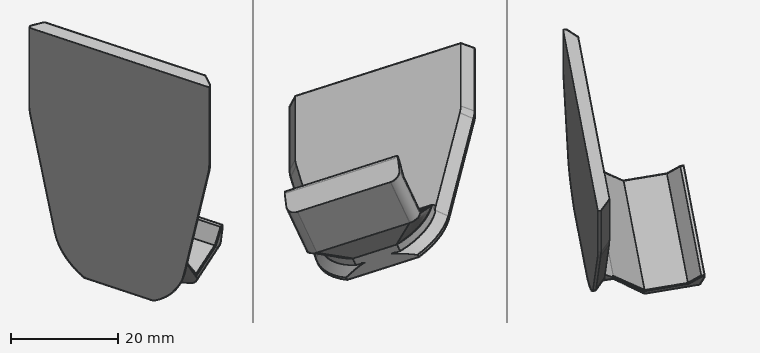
import cadquery as cq
import math

height = 65.0
plate_width = 37.0
depth = 21.5

plate_thickness = 2.55
plate_rim = 0.6
plate_bottom = 3.5
shoulder_z = 43.3
shoulder_radius = 14.3
curve_top_z = 13.0
curve_top_half = 13.25
bottom_half = 7.15

boss_back = 4.15
boss_half = 11.45
boss_top_z = 14.8
boss_mid_half = 9.9
boss_mid_z = 8.45
boss_bottom_half = 4.4

arm_half = 11.3
arm_floor_z = 3.1
arm_corner = 2.0
arm_root_z = 12.8
elbow_y = 10.15
arm_top_chamfer = 0.2
lip_inner_y = 18.3
lip_tip_width = 0.65
lip_top_z = 5.7
lip_bottom_y = 20.1
lip_edge_z = 5.2


def make_plate():
    half = plate_width / 2
    plate = (
        cq.Workplane("XZ")
        .moveTo(0, height)
        .lineTo(half, height)
        .lineTo(half, shoulder_z)
        .lineTo(curve_top_half, curve_top_z)
        .tangentArcPoint((bottom_half, plate_bottom), relative=False)
        .lineTo(0, plate_bottom)
        .close()
        .extrude(-plate_thickness)
    )
    shoulder = cq.selectors.NearestToPointSelector((half, plate_thickness / 2, shoulder_z))
    plate = plate.edges(shoulder).fillet(shoulder_radius)
    outer_side = cq.selectors.NearestToPointSelector((half, plate_thickness, (height + shoulder_z) / 2))
    plate = plate.edges(outer_side).chamfer(plate_thickness - plate_rim)
    return plate.union(plate.mirror("YZ"))


def rounded_section(y, half, top_z, curve_z, curve_mid, base_half, base_z):
    """Closed outline in an XZ plane: flat top and base, curved lower corners."""
    mid_x, mid_z = curve_mid
    return (
        cq.Workplane("XZ", origin=(0, y, 0))
        .moveTo(-half, top_z)
        .lineTo(half, top_z)
        .lineTo(half, curve_z)
        .threePointArc((mid_x, mid_z), (base_half, base_z))
        .lineTo(-base_half, base_z)
        .threePointArc((-mid_x, mid_z), (-half, curve_z))
        .close()
    )


def root_section(y, half, top_z):
    """Section whose lower corners follow the curve of the plate."""
    inset = boss_half - half
    return rounded_section(
        y, half, top_z, arm_root_z - arm_top_chamfer,
        (boss_mid_half - inset, boss_mid_z), boss_bottom_half - inset, plate_bottom,
    )


def arm_section(top_z):
    """Section of the arm at the elbow."""
    bend = arm_corner * (1 - math.sqrt(0.5))
    return rounded_section(
        elbow_y, arm_half, top_z, arm_corner,
        (arm_half - bend, bend), arm_half - arm_corner, 0,
    )


def side_prism(points):
    """Side profile in the YZ plane, extruded wider than the part."""
    return cq.Workplane("YZ").polyline(points).close().extrude(plate_width, both=True)


def make_boss():
    boss = root_section(plate_thickness, boss_half, boss_top_z).extrude(plate_thickness - boss_back)
    envelope = side_prism(
        [
            (plate_thickness, plate_bottom),
            (plate_thickness, boss_top_z),
            (boss_back, arm_root_z),
            (boss_back, plate_bottom),
        ]
    )
    return boss.intersect(envelope)


def make_sloped_arm():
    root = root_section(boss_back, arm_half, arm_root_z).wires().val()
    elbow = arm_section(arm_floor_z).wires().val()
    return cq.Workplane(cq.Solid.makeLoft([root, elbow], True))


def make_hook():
    hook = arm_section(lip_top_z).extrude(elbow_y - depth)
    envelope = side_prism(
        [
            (elbow_y, 0),
            (lip_bottom_y, 0),
            (depth, lip_edge_z),
            (depth, lip_top_z),
            (depth - lip_tip_width, lip_top_z),
            (lip_inner_y, arm_floor_z),
            (elbow_y, arm_floor_z),
        ]
    )
    return hook.intersect(envelope)


def break_top_edges(arm):
    """Chamfer the long upper edges of the sloped arm, floor and lip."""
    corners = [
        (boss_back, arm_root_z),
        (elbow_y, arm_floor_z),
        (lip_inner_y, arm_floor_z),
        (depth - lip_tip_width, lip_top_z),
        (depth, lip_top_z),
    ]
    edges = cq.Workplane()
    for (y1, z1), (y2, z2) in zip(corners, corners[1:]):
        for side in (-1, 1):
            middle = (side * arm_half, (y1 + y2) / 2, (z1 + z2) / 2)
            nearest = cq.selectors.NearestToPointSelector(middle)
            edges = edges.add(arm.edges(nearest))
    return arm.newObject([arm.val().chamfer(arm_top_chamfer, None, edges.vals())])


arm = make_sloped_arm().union(make_hook())
arm = break_top_edges(arm)
result = make_plate().union(make_boss()).union(arm)